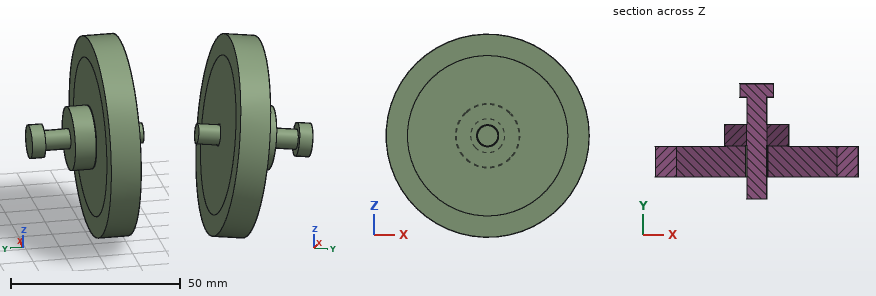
import cadquery as cq

TIRE_DIAMETER = 59.85
DISC_DIAMETER = 47.2
WHEEL_WIDTH = 9.05
BOSS_DIAMETER = 18.5
BOSS_HEIGHT = 0.2
HUB_DIAMETER = 19.0
HUB_LENGTH = 6.3
BORE_DIAMETER = 6.5

PIN_DIAMETER = 6.0
PIN_LENGTH = 34.0
PIN_FRONT_OVERHANG = 6.5
HEAD_DIAMETER = 10.0
HEAD_LENGTH = 4.0

HUB_START = WHEEL_WIDTH + BOSS_HEIGHT
PIN_START = -PIN_FRONT_OVERHANG
SHANK_LENGTH = PIN_LENGTH - HEAD_LENGTH
HEAD_START = PIN_START + SHANK_LENGTH


def cylinder(diameter, start, length):
    """Solid cylinder on the Y axis, running from Y = start toward +Y."""
    return cq.Workplane("XZ", origin=(0, start, 0)).circle(diameter / 2).extrude(-length)


def sleeve(outer_diameter, inner_diameter, start, length):
    """Cylinder on the Y axis with a concentric through hole."""
    return cylinder(outer_diameter, start, length).cut(cylinder(inner_diameter, start, length))


def make_tire():
    """Outer ring that surrounds the disc."""
    return sleeve(TIRE_DIAMETER, DISC_DIAMETER, 0, WHEEL_WIDTH)


def make_disc():
    """Wheel centre with a low rear boss, bored with clearance for the pin."""
    plate = sleeve(DISC_DIAMETER, BORE_DIAMETER, 0, WHEEL_WIDTH)
    boss = sleeve(BOSS_DIAMETER, BORE_DIAMETER, WHEEL_WIDTH, BOSS_HEIGHT)
    return plate.union(boss)


def make_hub():
    """Spacer against the rear boss of the disc, fitting closely on the pin."""
    return sleeve(HUB_DIAMETER, PIN_DIAMETER, HUB_START, HUB_LENGTH)


def make_pin():
    """Straight axle pin with a head at its rear end."""
    shank = cylinder(PIN_DIAMETER, PIN_START, SHANK_LENGTH)
    head = cylinder(HEAD_DIAMETER, HEAD_START, HEAD_LENGTH)
    return shank.union(head)


tire = make_tire()
disc = make_disc()
hub = make_hub()
pin = make_pin()

result = cq.Compound.makeCompound([tire.val(), disc.val(), hub.val(), pin.val()])